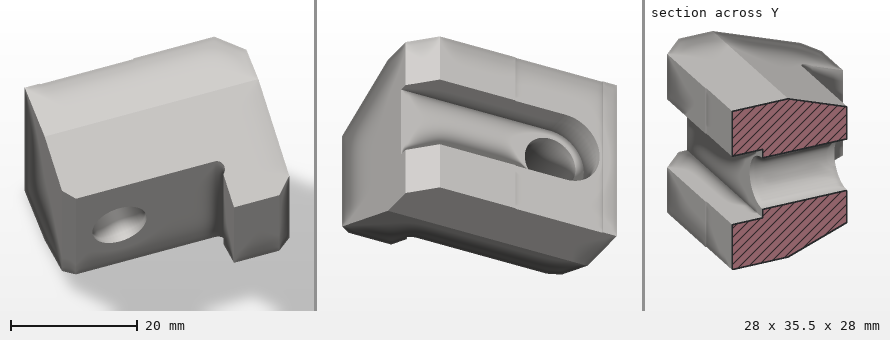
import cadquery as cq
import math

width = 28.0
length = 35.5
height = 28.0

body_width = 20.45
hook_thickness = 10.0
back_chamfer = 4.0
hook_chamfer = 2.5
front_chamfer = 1.75
relief_radius = 1.2
relief_rise = 0.55

taper_start = 10.0
tip_height = 15.0

recess_depth = 0.15
recess_front = 2.5
recess_back = 18.0

slot_width = 12.0
slot_depth = 5.5
hole_diameter = 9.0
hole_y = 8.98


def hook_prism():
    """Extrude the plan outline over the full height."""
    hook_y = length - hook_thickness
    relief_x = body_width + relief_radius
    relief_y = hook_y + relief_rise - relief_radius
    relief_half_chord = math.sqrt(relief_radius**2 - (hook_y - relief_y)**2)
    return (
        cq.Workplane("XY")
        .workplane(offset=-height / 2)
        .moveTo(0, 0)
        .lineTo(body_width - front_chamfer, 0)
        .lineTo(body_width, front_chamfer)
        .lineTo(body_width, relief_y)
        .threePointArc(
            (relief_x, relief_y + relief_radius),
            (relief_x + relief_half_chord, hook_y),
        )
        .lineTo(width, hook_y)
        .lineTo(width, length - hook_chamfer)
        .lineTo(width - hook_chamfer, length)
        .lineTo(back_chamfer, length)
        .lineTo(0, length - back_chamfer)
        .close()
        .extrude(height)
    )


def tapered_envelope():
    """Side profile that narrows symmetrically towards +X."""
    return (
        cq.Workplane("XZ")
        .polyline([
            (0, -height / 2),
            (taper_start, -height / 2),
            (width, -tip_height / 2),
            (width, tip_height / 2),
            (taper_start, height / 2),
            (0, height / 2),
        ])
        .close()
        .extrude(-length)
    )


def face_recess():
    return cq.Workplane("XY").box(
        recess_depth, recess_back - recess_front, height, centered=(False, False, True)
    ).translate((0, recess_front, 0))


def bolt_slot():
    """Slot with a round front end, running out through the back."""
    straight = cq.Workplane("XY").box(
        slot_depth, length - hole_y, slot_width, centered=(False, False, True)
    ).translate((0, hole_y, 0))
    round_end = cq.Workplane("YZ").center(hole_y, 0).circle(slot_width / 2).extrude(slot_depth)
    return straight.union(round_end)


def bolt_hole():
    return cq.Workplane("YZ").center(hole_y, 0).circle(hole_diameter / 2).extrude(width)


result = (
    hook_prism()
    .intersect(tapered_envelope())
    .cut(face_recess())
    .cut(bolt_slot())
    .cut(bolt_hole())
)